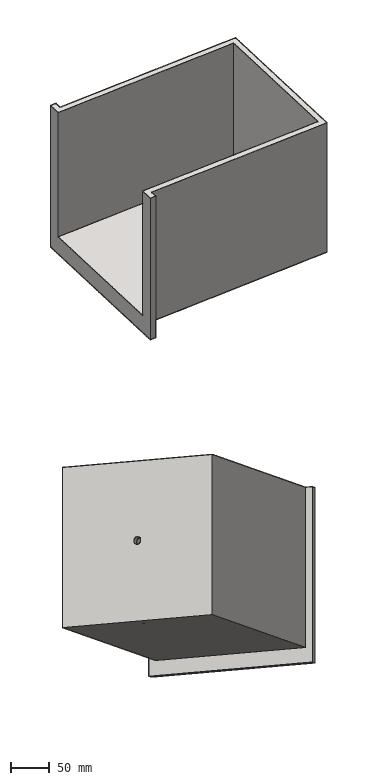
import cadquery as cq

flange_width = 237.0
length = 280.0
height = 231.0

wall = 8.5
body_width = 217.0
body_height = 211.0
floor_thickness = 8.5
flange_thickness = 8.5

back_hole_diameter = 10.0
back_hole_height = 126.0
floor_hole_diameter = 2.5
floor_hole_from_back = 19.0

flange_drop = height - body_height
cavity_width = body_width - 2 * wall
cavity_floor = flange_drop + floor_thickness


def block(width, depth, tall, front, bottom):
    """Box centred on X, with its front face and bottom face placed."""
    solid = cq.Workplane("XY").box(width, depth, tall, centered=(True, False, False))
    return solid.translate((0, front, bottom))


body = block(body_width, length, body_height, 0, flange_drop)
flange = block(flange_width, flange_thickness, height, 0, 0)
cavity = block(cavity_width, length - wall, height - cavity_floor, 0, cavity_floor)

back_hole = (
    cq.Workplane("XZ", origin=(0, length, back_hole_height))
    .circle(back_hole_diameter / 2)
    .extrude(wall)
)

floor_hole = (
    cq.Workplane("XY", origin=(0, length - floor_hole_from_back, flange_drop))
    .circle(floor_hole_diameter / 2)
    .extrude(floor_thickness)
)

result = body.union(flange).cut(cavity).cut(back_hole).cut(floor_hole)